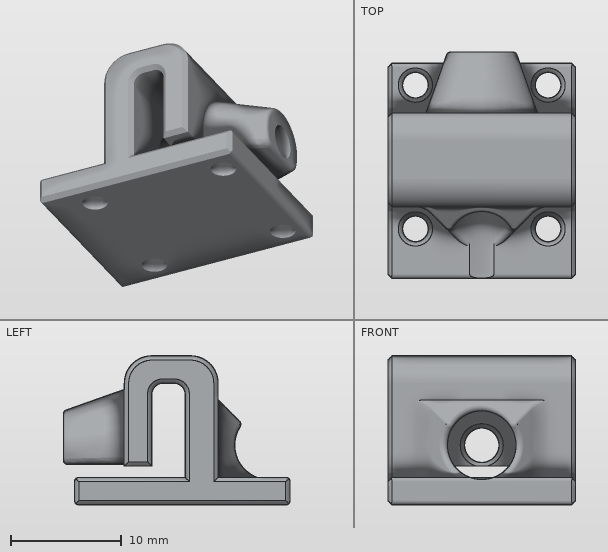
import cadquery as cq
import math

WIDTH = 17.0
BASE_DEPTH = 19.5
BASE_THICKNESS = 2.5
EDGE_CHAMFER = 0.4
BASE_EDGE_RADIUS = 0.4

TOTAL_HEIGHT = 13.5
FRONT_WALL = 3.0
SLOT_WIDTH = 3.0
REAR_WALL = 2.5
TOP_THICKNESS = 2.5
FRONT_LEDGE = 6.5
REAR_WALL_GAP = 1.0
HOOK_OUTER_RADIUS = 2.5
HOOK_INNER_RADIUS = 1.0

BASE_FRONT_Y = -BASE_DEPTH / 2
BASE_REAR_Y = BASE_DEPTH / 2
FRONT_WALL_Y = BASE_FRONT_Y + FRONT_LEDGE
SLOT_FRONT_Y = FRONT_WALL_Y + FRONT_WALL
SLOT_REAR_Y = SLOT_FRONT_Y + SLOT_WIDTH
REAR_WALL_Y = SLOT_REAR_Y + REAR_WALL
REAR_WALL_BOTTOM = BASE_THICKNESS + REAR_WALL_GAP
SLOT_TOP = TOTAL_HEIGHT - TOP_THICKNESS

SCREW_DIAMETER = 2.3
SCREW_X = 6.0
SCREW_FRONT_INSET = 4.5
SCREW_REAR_INSET = 2.0
SCREW_FRONT_Y = BASE_FRONT_Y + SCREW_FRONT_INSET
SCREW_REAR_Y = BASE_REAR_Y - SCREW_REAR_INSET

AXIS_HEIGHT = 5.4
GROOVE_DIAMETER = 6.2
CABLE_HOLE_DIAMETER = 3.1
HOLE_CHAMFER = 0.4

BOSS_OVERHANG = 1.0
BOSS_END_DIAMETER = 6.2
BOSS_ROOT_DIAMETER = 10.1
BOSS_FLAT_HEIGHT = 3.65
BOSS_END_ROUND = 0.4
BOSS_SIDE_ROUND = 0.8
BOSS_END_Y = BASE_REAR_Y + BOSS_OVERHANG

GUSSET_SIDE_ANGLE = math.radians(45)
GUSSET_HALF_WIDTH = 5.17
GUSSET_TOP = 9.5
GUSSET_TIP_Y = FRONT_WALL_Y - GUSSET_HALF_WIDTH
GUSSET_BURIED_DEPTH = 1.0
GUSSET_ROOT_RADIUS = 2.0
GUSSET_EDGE_RADIUS = 0.4

CUT_MARGIN = 1.0
SELECT_MARGIN = 0.05


def y_cylinder(diameter, y_start, y_end):
    """Cylinder on the shared axis, parallel to Y."""
    plane = cq.Plane((0, y_start, AXIS_HEIGHT), (1, 0, 0), (0, 1, 0))
    return cq.Workplane(plane).circle(diameter / 2).extrude(y_end - y_start)


def y_cone(start_diameter, end_diameter, y_start, y_end):
    """Cone frustum on the shared axis, parallel to Y."""
    solid = cq.Solid.makeCone(
        start_diameter / 2,
        end_diameter / 2,
        y_end - y_start,
        cq.Vector(0, y_start, AXIS_HEIGHT),
        cq.Vector(0, 1, 0),
    )
    return cq.Workplane(solid)


def make_bracket():
    """Base and hook as one side profile, chamfered at both ends, base edges rounded."""
    profile = (
        cq.Workplane("YZ", origin=(-WIDTH / 2, 0, 0))
        .moveTo(BASE_FRONT_Y, 0)
        .lineTo(BASE_REAR_Y, 0)
        .lineTo(BASE_REAR_Y, BASE_THICKNESS)
        .lineTo(SLOT_FRONT_Y, BASE_THICKNESS)
        .lineTo(SLOT_FRONT_Y, SLOT_TOP - HOOK_INNER_RADIUS)
        .radiusArc((SLOT_FRONT_Y + HOOK_INNER_RADIUS, SLOT_TOP), HOOK_INNER_RADIUS)
        .lineTo(SLOT_REAR_Y - HOOK_INNER_RADIUS, SLOT_TOP)
        .radiusArc((SLOT_REAR_Y, SLOT_TOP - HOOK_INNER_RADIUS), HOOK_INNER_RADIUS)
        .lineTo(SLOT_REAR_Y, REAR_WALL_BOTTOM)
        .lineTo(REAR_WALL_Y, REAR_WALL_BOTTOM)
        .lineTo(REAR_WALL_Y, TOTAL_HEIGHT - HOOK_OUTER_RADIUS)
        .radiusArc((REAR_WALL_Y - HOOK_OUTER_RADIUS, TOTAL_HEIGHT), -HOOK_OUTER_RADIUS)
        .lineTo(FRONT_WALL_Y + HOOK_OUTER_RADIUS, TOTAL_HEIGHT)
        .radiusArc((FRONT_WALL_Y, TOTAL_HEIGHT - HOOK_OUTER_RADIUS), -HOOK_OUTER_RADIUS)
        .lineTo(FRONT_WALL_Y, BASE_THICKNESS)
        .lineTo(BASE_FRONT_Y, BASE_THICKNESS)
        .close()
        .extrude(WIDTH)
    )
    bracket = profile.faces("<X or >X").edges().chamfer(EDGE_CHAMFER)
    return bracket.faces("<Y or >Y").edges("|X").fillet(BASE_EDGE_RADIUS)


def make_gusset_plan():
    """Prism with two 45 degree sides that run into the wall through concave arcs."""
    buried_y = FRONT_WALL_Y + GUSSET_BURIED_DEPTH
    tangent_length = GUSSET_ROOT_RADIUS * math.tan(GUSSET_SIDE_ANGLE / 2)
    tangent_inset = tangent_length * math.cos(GUSSET_SIDE_ANGLE)
    wall_x = GUSSET_HALF_WIDTH + tangent_length
    side_x = GUSSET_HALF_WIDTH - tangent_inset
    side_y = FRONT_WALL_Y - tangent_inset
    return (
        cq.Workplane("XY", origin=(0, 0, BASE_THICKNESS))
        .moveTo(-wall_x, buried_y)
        .lineTo(-wall_x, FRONT_WALL_Y)
        .radiusArc((-side_x, side_y), GUSSET_ROOT_RADIUS)
        .lineTo(0, GUSSET_TIP_Y)
        .lineTo(side_x, side_y)
        .radiusArc((wall_x, FRONT_WALL_Y), GUSSET_ROOT_RADIUS)
        .lineTo(wall_x, buried_y)
        .close()
        .extrude(TOTAL_HEIGHT)
    )


def make_gusset():
    """Gusset under a 45 degree roof, hollowed by the groove, with its exposed edges rounded."""
    buried_y = FRONT_WALL_Y + GUSSET_BURIED_DEPTH
    under_roof = (
        cq.Workplane("YZ", origin=(-WIDTH / 2, 0, 0))
        .moveTo(GUSSET_TIP_Y, BASE_THICKNESS)
        .lineTo(buried_y, BASE_THICKNESS)
        .lineTo(buried_y, GUSSET_TOP + GUSSET_BURIED_DEPTH)
        .lineTo(GUSSET_TIP_Y, GUSSET_TOP - GUSSET_HALF_WIDTH)
        .close()
        .extrude(WIDTH)
    )
    groove = y_cylinder(GROOVE_DIAMETER, GUSSET_TIP_Y - CUT_MARGIN, buried_y + CUT_MARGIN)
    gusset = make_gusset_plan().intersect(under_roof).cut(groove)
    exposed = cq.selectors.BoxSelector(
        (-GUSSET_HALF_WIDTH, GUSSET_TIP_Y, BASE_THICKNESS + SELECT_MARGIN),
        (GUSSET_HALF_WIDTH, FRONT_WALL_Y - SELECT_MARGIN, GUSSET_TOP),
    )
    return gusset.edges(exposed).edges("not |Z").fillet(GUSSET_EDGE_RADIUS)


def make_boss():
    """Cone flattened underneath, with the sides of the flat and the rear end rounded."""
    cone = y_cone(BOSS_ROOT_DIAMETER, BOSS_END_DIAMETER, REAR_WALL_Y, BOSS_END_Y)
    underside = cq.Workplane("XY").rect(WIDTH, 2 * BOSS_END_Y + CUT_MARGIN).extrude(BOSS_FLAT_HEIGHT)
    flattened = cone.cut(underside).faces("<Z").edges("not |X").fillet(BOSS_SIDE_ROUND)
    return flattened.faces(">Y").edges().fillet(BOSS_END_ROUND)


def drill_screw_holes(body):
    """Countersunk through holes at the four corners of the base."""
    places = [(x, y) for x in (-SCREW_X, SCREW_X) for y in (SCREW_FRONT_Y, SCREW_REAR_Y)]
    for x, y in places:
        hole = cq.Workplane("XY", origin=(x, y, 0)).circle(SCREW_DIAMETER / 2).extrude(BASE_THICKNESS)
        sink = cq.Solid.makeCone(
            SCREW_DIAMETER / 2,
            SCREW_DIAMETER / 2 + HOLE_CHAMFER,
            HOLE_CHAMFER,
            cq.Vector(x, y, BASE_THICKNESS - HOLE_CHAMFER),
        )
        body = body.cut(hole).cut(cq.Workplane(sink))
    return body


def bore_cable_path(body):
    """Groove through base and front wall, then a chamfered hole through rear wall and boss."""
    groove = y_cylinder(GROOVE_DIAMETER, BASE_FRONT_Y, SLOT_FRONT_Y)
    hole = y_cylinder(CABLE_HOLE_DIAMETER, SLOT_REAR_Y, BOSS_END_Y)
    hole_mouth = y_cone(
        CABLE_HOLE_DIAMETER + 2 * HOLE_CHAMFER,
        CABLE_HOLE_DIAMETER,
        SLOT_REAR_Y,
        SLOT_REAR_Y + HOLE_CHAMFER,
    )
    return body.cut(groove).cut(hole).cut(hole_mouth)


bracket = make_bracket().union(make_boss()).union(make_gusset())
result = bore_cable_path(drill_screw_holes(bracket))